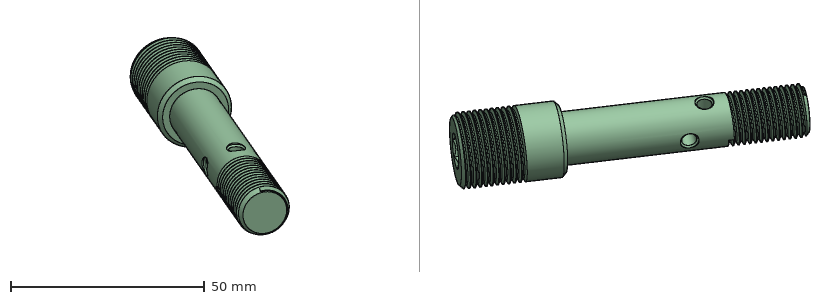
import cadquery as cq
import math

total_length = 92.2
head_length = 27.9

head_diameter = 20.0
shank_diameter = 14.0

head_chamfer = 1.1
tip_chamfer = 1.1

pitch = 18.0 / 12
groove_depth = 0.6 * pitch
groove_mouth = pitch * 7 / 8
groove_root = pitch / 4
crest_clearance = 0.1
head_groove_start = 0.5
head_turns = 11
head_start_angle = 300
tip_groove_start = 71.3
tip_turns = 13.75
tip_start_angle = 190

socket_flats = 8.0
socket_depth = 10.0
socket_mouth_diameter = 9.4
socket_corner_diameter = socket_flats / math.cos(math.radians(30))
drill_point_angle = 118.0

cross_hole_diameter = 4.0
cross_hole_chamfer = 0.5
y_hole_position = 60.4
z_hole_position = 65.5


def body():
    """Stepped round body turned about the X axis."""
    head_radius = head_diameter / 2
    shank_radius = shank_diameter / 2
    return (
        cq.Workplane("XY")
        .moveTo(0, 0)
        .lineTo(0, head_radius - head_chamfer)
        .lineTo(head_chamfer, head_radius)
        .lineTo(head_length - head_chamfer, head_radius)
        .lineTo(head_length, head_radius - head_chamfer)
        .lineTo(head_length, shank_radius)
        .lineTo(total_length - tip_chamfer, shank_radius)
        .lineTo(total_length, shank_radius - tip_chamfer)
        .lineTo(total_length, 0)
        .close()
        .revolve(360, (0, 0, 0), (1, 0, 0))
    )


def groove_piece(diameter, turns, start, start_angle):
    """Piece of a helical V groove about X; it starts at x = start, start_angle degrees from +Y."""
    radius = diameter / 2
    flank_slope = (groove_mouth - groove_root) / 2 / groove_depth
    half_root = groove_root / 2
    half_opening = groove_mouth / 2 + flank_slope * crest_clearance
    section = [
        (radius - groove_depth, -half_root),
        (radius + crest_clearance, -half_opening),
        (radius + crest_clearance, half_opening),
        (radius - groove_depth, half_root),
    ]
    helices = [
        cq.Wire.makeHelix(pitch, turns * pitch, helix_radius, cq.Vector(0, 0, offset))
        for helix_radius, offset in section
    ]
    edges = [helix.Edges()[0] for helix in helices]
    faces = [cq.Face.makeRuledSurface(edges[i - 1], edges[i]) for i in range(len(edges))]
    for end in (0, 1):
        corners = [edge.positionAt(end) for edge in edges]
        faces.append(cq.Face.makeFromWires(cq.Wire.makePolygon(corners, close=True)))
    groove = cq.Workplane(cq.Solid.makeSolid(cq.Shell.makeShell(faces)))
    along_x = groove.rotate((0, 0, 0), (1, 1, 1), 120)
    return along_x.rotate((0, 0, 0), (1, 0, 0), start_angle).translate((start, 0, 0))


def cut_thread(part, diameter, start, turns, start_angle):
    """Cut a right-hand thread in equal pieces of at most one turn, which keeps each cut simple."""
    pieces = math.ceil(turns)
    piece_turns = turns / pieces
    for i in range(pieces):
        turns_before = i * piece_turns
        piece_start = start + turns_before * pitch
        piece_angle = start_angle + turns_before * 360
        part = part.cut(groove_piece(diameter, piece_turns, piece_start, piece_angle))
    return part


def hex_socket():
    """Hexagon socket with two corners on the Y axis, a drill-point floor and a conical mouth."""
    drill_radius = socket_flats / 2
    point_depth = drill_radius / math.tan(math.radians(drill_point_angle / 2))
    hexagon = cq.Workplane("YZ").polygon(6, socket_corner_diameter).extrude(socket_depth)
    drill_point = cq.Workplane(cq.Solid.makeCone(
        drill_radius, 0, point_depth, cq.Vector(socket_depth, 0, 0), cq.Vector(1, 0, 0)
    ))
    mouth_radius = socket_mouth_diameter / 2
    mouth = cq.Workplane(cq.Solid.makeCone(
        mouth_radius, 0, mouth_radius, cq.Vector(0, 0, 0), cq.Vector(1, 0, 0)
    ))
    return hexagon.union(drill_point).union(mouth)


def cross_hole(position):
    """Hole along Z through the shank, with both mouths chamfered."""
    shank_radius = shank_diameter / 2
    hole_radius = cross_hole_diameter / 2
    mouth_radius = hole_radius + cross_hole_chamfer
    mouth_height = math.sqrt(shank_radius**2 - mouth_radius**2)
    half_profile = (
        cq.Workplane("XZ")
        .moveTo(0, 0)
        .lineTo(hole_radius, 0)
        .lineTo(hole_radius, mouth_height - cross_hole_chamfer)
        .lineTo(mouth_radius, mouth_height)
        .lineTo(mouth_radius, shank_radius)
        .lineTo(0, shank_radius)
        .close()
    )
    upper = half_profile.revolve(360, (0, 0, 0), (0, 1, 0))
    hole = upper.union(upper.mirror("XY"))
    return hole.translate((position, 0, 0))


z_hole = cross_hole(z_hole_position)
y_hole = cross_hole(y_hole_position).rotate((0, 0, 0), (1, 0, 0), 90)

bolt = cut_thread(body(), head_diameter, head_groove_start, head_turns, head_start_angle)
bolt = cut_thread(bolt, shank_diameter, tip_groove_start, tip_turns, tip_start_angle)
result = bolt.cut(hex_socket()).cut(z_hole).cut(y_hole)